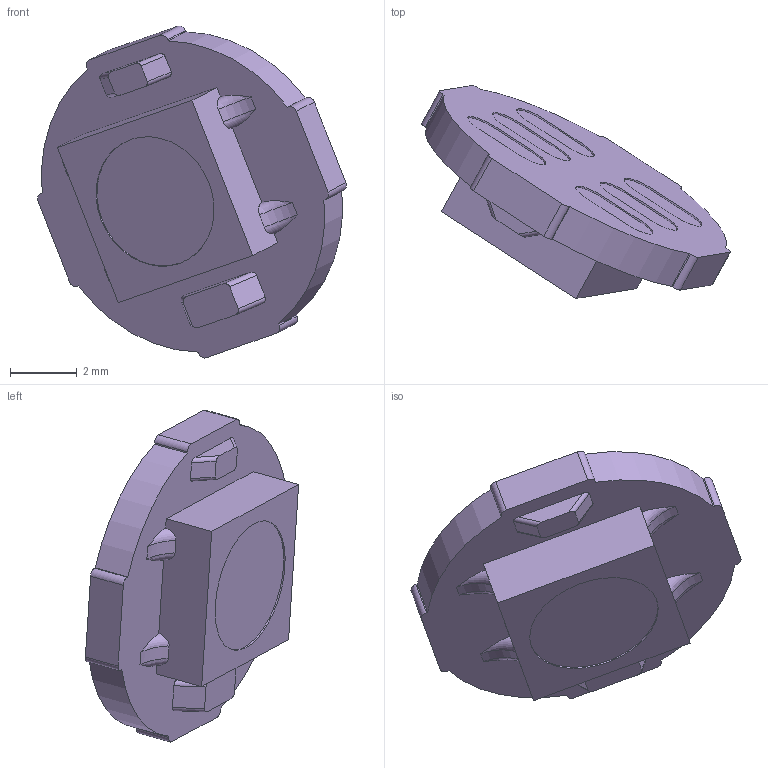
import cadquery as cq
import math


BOARD_RADIUS = 4.8
BOARD_THICKNESS = 1.15
TAB_WIDTH = 3.0
TAB_CORNER_RADIUS = 0.2

LED_SIDE = 5.0
LED_HEIGHT = 1.6
LED_OFFSET_Y = 0.25
LENS_DIAMETER = 4.0
LENS_DEPTH = 0.05

JOINT_REACH = 1.0
JOINT_WIDTH = 1.0
JOINT_SPACING = 3.4
JOINT_EDGE_RADIUS = 0.3
JOINT_CURVE_RADIUS = 1.5
JOINT_ROOT_DEPTH = 0.5

UPPER_BLOCK = dict(
    centre_y=3.905, width=0.75, base_length=2.42, top_length=1.22, height=0.5, corner_radius=0.12
)
LOWER_BLOCK = dict(
    centre_y=-3.315, width=1.0, base_length=2.8, top_length=1.72, height=0.8, corner_radius=0.15
)

PAD_LENGTH = 2.77
PAD_WIDTH = 1.3
PAD_DEPTH = 0.05
PAD_COLUMN_SPACING = 4.0
PAD_ROW_SPACING = 2.0
PAD_COLUMNS = 2
PAD_ROWS = 3

TURN_X = 104.37
TURN_Y = -16.36
TURN_Z = -32.87


def make_board():
    """Round disc with four flat tabs that reach out to the disc's tangent square."""
    disc = cq.Workplane("XY").circle(BOARD_RADIUS).extrude(-BOARD_THICKNESS)
    bar = (
        cq.Workplane("XY")
        .rect(2 * BOARD_RADIUS, TAB_WIDTH)
        .extrude(-BOARD_THICKNESS)
        .edges("|Z")
        .fillet(TAB_CORNER_RADIUS)
    )
    cross_bar = bar.rotate((0, 0, 0), (0, 0, 1), 90)
    return disc.union(bar).union(cross_bar)


def make_led():
    """Square package with a shallow round lens recess in its top."""
    return (
        cq.Workplane("XY")
        .center(0, LED_OFFSET_Y)
        .rect(LED_SIDE, LED_SIDE)
        .extrude(LED_HEIGHT)
        .faces(">Z")
        .workplane(origin=(0, LED_OFFSET_Y, 0))
        .hole(LENS_DIAMETER, LENS_DEPTH)
    )


def make_joint(side, centre_y):
    """Concave solder fillet running from the LED side down to the board, rooted in the board.

    side is +1 or -1: the LED side in X that the joint touches.
    """
    led_x = side * LED_SIDE / 2
    tip_x = led_x + side * JOINT_REACH

    def curve_point(distance_from_tip):
        height = JOINT_CURVE_RADIUS - math.sqrt(JOINT_CURVE_RADIUS**2 - distance_from_tip**2)
        return (tip_x - side * distance_from_tip, height)

    joint = (
        cq.Workplane("XZ")
        .moveTo(led_x, -JOINT_ROOT_DEPTH)
        .lineTo(tip_x, -JOINT_ROOT_DEPTH)
        .lineTo(tip_x, 0)
        .threePointArc(curve_point(JOINT_REACH / 2), curve_point(JOINT_REACH))
        .close()
        .extrude(JOINT_WIDTH / 2, both=True)
    )
    arc_edges = joint.edges("%CIRCLE")
    return arc_edges.fillet(JOINT_EDGE_RADIUS).translate((0, centre_y, 0))


def make_block(centre_y, width, base_length, top_length, height, corner_radius):
    """Component with sloping ends and rounded corners along the slopes."""
    return (
        cq.Workplane("XZ")
        .polyline(
            [
                (-base_length / 2, 0),
                (base_length / 2, 0),
                (top_length / 2, height),
                (-top_length / 2, height),
            ]
        )
        .close()
        .extrude(width / 2, both=True)
        .faces("|Y")
        .edges("not |X")
        .fillet(corner_radius)
        .translate((0, centre_y, 0))
    )


def make_pads():
    """Shallow oblong volumes to be cut from the back of the board."""
    return (
        cq.Workplane("XY", origin=(0, 0, -BOARD_THICKNESS))
        .rarray(PAD_COLUMN_SPACING, PAD_ROW_SPACING, PAD_COLUMNS, PAD_ROWS)
        .slot2D(PAD_LENGTH, PAD_WIDTH)
        .extrude(PAD_DEPTH)
    )


module = make_board().cut(make_pads()).union(make_led())
for side in (-1, 1):
    for row in (-1, 1):
        module = module.union(make_joint(side, LED_OFFSET_Y + row * JOINT_SPACING / 2))
for block in (UPPER_BLOCK, LOWER_BLOCK):
    module = module.union(make_block(**block))

result = (
    module.rotate((0, 0, 0), (1, 0, 0), TURN_X)
    .rotate((0, 0, 0), (0, 1, 0), TURN_Y)
    .rotate((0, 0, 0), (0, 0, 1), TURN_Z)
)